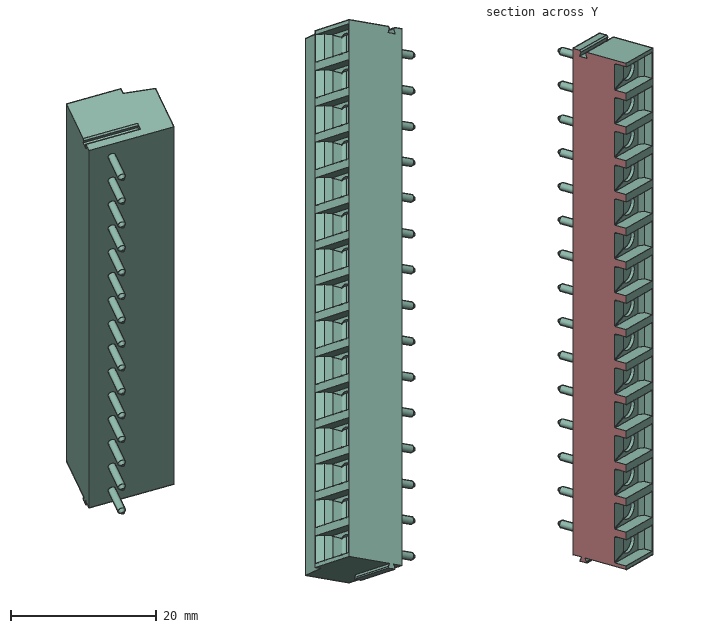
import cadquery as cq

POLE_COUNT = 15
POLE_PITCH = 5.08
BODY_HEIGHT = POLE_COUNT * POLE_PITCH

BODY_DEPTH = 9.0
BODY_WIDTH = 12.5
STEP_Y = 8.0
STEP_X = 0.9
SLOPE_TOP_X = 1.6

POCKET_HEIGHT = 3.9
POCKET_FLOOR_X = 1.85
POCKET_TOP_Y = 7.9
POCKET_BEND_X = 0.8
POCKET_BEND_Y = 6.86
POCKET_FLOOR_TOP_Y = 6.53
POCKET_FLOOR_BOTTOM_Y = 0.95
POCKET_BOTTOM_Y = 0.2
POCKET_LEDGE_X = 1.3

SEAT_RADIUS = 1.5
SEAT_Y = 3.35
SEAT_DEPTH = 0.55
LEAD_IN_END_Y = 4.4
LEAD_IN_WIDE = 3.8
LEAD_IN_NARROW = 2.3
LEAD_IN_DEPTH = 0.1
LIP_RADIUS = SEAT_DEPTH - LEAD_IN_DEPTH

PIN_DIAMETER = 1.1
PIN_LENGTH = 4.5
PIN_Y = 3.35
PIN_TIP_DIAMETER = 0.4
PIN_TIP_LENGTH = 0.5

DOVETAIL_X = 7.25
DOVETAIL_NECK = 0.68
DOVETAIL_WIDE = 1.15
TONGUE_HEIGHT = 0.69
TONGUE_EDGE = 0.23
GROOVE_DEPTH = 0.9
GROOVE_MOUTH_DEPTH = 0.23

RIDGE_X = DOVETAIL_X
RIDGE_PROJECTION = 0.3
RIDGE_LENGTH = 0.7
RIDGE_HEIGHT = 0.5
RIDGE_SKIP = 3


def make_housing():
    outline = [
        (0, 0),
        (BODY_DEPTH, 0),
        (BODY_DEPTH, BODY_WIDTH),
        (SLOPE_TOP_X, BODY_WIDTH),
        (STEP_X, STEP_Y),
        (0, STEP_Y),
    ]
    return cq.Workplane("XY").polyline(outline).close().extrude(BODY_HEIGHT)


def make_pocket():
    """Funnel-shaped wire pocket centred on Z = 0."""
    outline = [
        (0, POCKET_BOTTOM_Y),
        (POCKET_LEDGE_X, POCKET_BOTTOM_Y),
        (POCKET_FLOOR_X, POCKET_FLOOR_BOTTOM_Y),
        (POCKET_FLOOR_X, POCKET_FLOOR_TOP_Y),
        (POCKET_BEND_X, POCKET_BEND_Y),
        (0, POCKET_TOP_Y),
    ]
    return cq.Workplane("XY").polyline(outline).close().extrude(POCKET_HEIGHT / 2, both=True)


def make_recess():
    """Keyhole recess below the pocket floor, centred on Z = 0."""
    floor = cq.Workplane("YZ", origin=(POCKET_FLOOR_X, 0, 0))
    lead_in_outline = [
        (POCKET_FLOOR_TOP_Y, -LEAD_IN_WIDE / 2),
        (POCKET_FLOOR_TOP_Y, LEAD_IN_WIDE / 2),
        (LEAD_IN_END_Y, LEAD_IN_NARROW / 2),
        (LEAD_IN_END_Y, -LEAD_IN_NARROW / 2),
    ]
    lead_in = floor.polyline(lead_in_outline).close().extrude(LEAD_IN_DEPTH)
    seat = floor.center(SEAT_Y, 0).circle(SEAT_RADIUS).extrude(SEAT_DEPTH)

    lip_start_x = POCKET_FLOOR_X + LEAD_IN_DEPTH
    lip_centre_x = lip_start_x + LIP_RADIUS
    lip_end_y = LEAD_IN_END_Y - LIP_RADIUS
    seat_top_y = SEAT_Y + SEAT_RADIUS
    lip = (
        cq.Workplane("XY")
        .moveTo(lip_start_x, seat_top_y)
        .lineTo(lip_start_x, LEAD_IN_END_Y)
        .radiusArc((lip_centre_x, lip_end_y), -LIP_RADIUS)
        .lineTo(lip_centre_x, seat_top_y)
        .close()
        .extrude(SEAT_RADIUS, both=True)
    )
    return seat.cut(lip).union(lead_in)


def make_pin():
    """Solder pin with a conical tip, on Z = 0, rooted inside the housing."""
    root_x = BODY_DEPTH - PIN_DIAMETER
    tip_x = BODY_DEPTH + PIN_LENGTH
    outline = [
        (root_x, 0),
        (root_x, -PIN_DIAMETER / 2),
        (tip_x - PIN_TIP_LENGTH, -PIN_DIAMETER / 2),
        (tip_x, -PIN_TIP_DIAMETER / 2),
        (tip_x, 0),
    ]
    pin = cq.Workplane("XY").polyline(outline).close().revolve(360, (0, 0, 0), (1, 0, 0))
    return pin.translate((0, PIN_Y, 0))


def extrude_to_step(half_profile):
    """Mirror (half width, Z) points about the dovetail centre and run the profile from Y = 0 to the step."""
    right = [(DOVETAIL_X + half_width, z) for half_width, z in half_profile]
    left = [(DOVETAIL_X - half_width, z) for half_width, z in reversed(half_profile)]
    return cq.Workplane("XZ").polyline(right + left).close().extrude(-STEP_Y)


def make_tongue():
    return extrude_to_step([
        (DOVETAIL_NECK / 2, 0),
        (DOVETAIL_WIDE / 2, TONGUE_EDGE - TONGUE_HEIGHT),
        (DOVETAIL_WIDE / 2, -TONGUE_HEIGHT),
    ])


def make_groove():
    return extrude_to_step([
        (DOVETAIL_WIDE / 2, BODY_HEIGHT),
        (DOVETAIL_NECK / 2, BODY_HEIGHT - GROOVE_MOUTH_DEPTH),
        (DOVETAIL_WIDE / 2, BODY_HEIGHT - GROOVE_DEPTH),
    ])


def make_ridge():
    ridge = cq.Workplane("XY").box(
        RIDGE_LENGTH, RIDGE_PROJECTION, RIDGE_HEIGHT, centered=(True, False, True)
    )
    return ridge.translate((RIDGE_X, BODY_WIDTH, 0))


result = make_housing()

pole_cut = make_pocket().union(make_recess())
pin = make_pin()
for pole in range(POLE_COUNT):
    pole_z = (pole + 0.5) * POLE_PITCH
    result = result.cut(pole_cut.translate((0, 0, pole_z)))
    result = result.union(pin.translate((0, 0, pole_z)))

ridge = make_ridge()
for boundary in range(1, POLE_COUNT):
    if boundary % RIDGE_SKIP != 0:
        result = result.union(ridge.translate((0, 0, boundary * POLE_PITCH)))

result = result.cut(make_groove())
result = result.union(make_tongue())